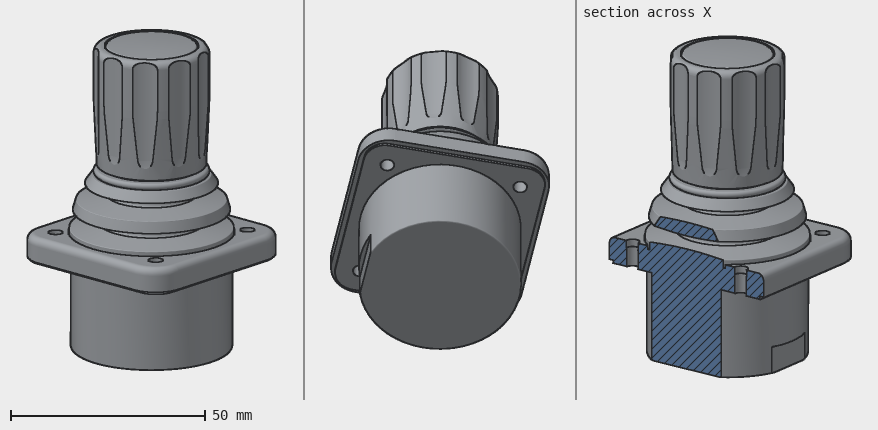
import cadquery as cq
import math

BODY_TOP = 23.9
LIP_TOP = 24.7
FLANGE_TOP = 31.1
NECK_BASE = 48.45
KNOB_BASE = 49.1
KNOB_RIM = 81.3
OVERALL_HEIGHT = 81.8

BODY_DIAMETER = 41.7
BODY_EDGE_FILLET = 0.4
FLAT_HEIGHT = 7.2
FLAT_OFFSET = 19.65

FLANGE_WIDTH = 50.0
FLANGE_CORNER = 8.0
FLANGE_TOP_FILLET = 2.0
LIP_WIDTH = 47.5
LIP_CORNER = 5.5
HOLE_PITCH = 34.95
HOLE_MOUTH_DIAMETER = 3.8
HOLE_MOUTH_DEPTH = 2.0
HOLE_DIAMETER = 3.5
RECESS_DIAMETER = 43.0
RECESS_DEPTH = 1.0

SKIRT_DIAMETER = 42.5
SKIRT_TOP = 32.25
LOWER_GROOVE_RADIUS = 13.1
LOWER_GROOVE_LEVEL = 34.45
UPPER_GROOVE_RADIUS = 11.05
UPPER_GROOVE_LEVEL = 42.0
GROOVE_HALF_HEIGHT = 1.0
GROOVE_BULGE = 0.4
LOWER_RIDGE_BOTTOM = (20.4, 36.8)
LOWER_RIDGE_TOP = (19.5, 39.85)
UPPER_RIDGE_BOTTOM = (17.35, 44.0)
UPPER_RIDGE_TOP = (15.5, 46.65)
RIDGE_FILLET = 0.25
COLLAR_RADIUS = 15.0
COLLAR_BULGE = 0.7
NECK_DIAMETER = 25.0

GRIP_RADIUS = 15.0
KNOB_BASE_RADIUS = 14.15
KNOB_BASE_FILLET = 0.4
KNOB_TOP_FILLET = 2.0
TAPER_START = 67.0
TAPER_BLEND = 1.1
DISC_DIAMETER = 23.7
DISC_EDGE_LEVEL = 81.35
DISC_EDGE_FILLET = 0.5
DISC_GROOVE_DIAMETER = 24.2
DISC_GROOVE_DEPTH = 0.5

FLUTE_COUNT = 10
FLUTE_RADIUS = 9.7
FLUTE_FLOOR_RADIUS = 14.1
FLUTE_BASE = 54.5


def cylinder(diameter, bottom, top):
    return cq.Workplane("XY").workplane(offset=bottom).circle(diameter / 2).extrude(top - bottom)


def rounded_square(width, corner, bottom, top):
    block = cq.Workplane("XY").workplane(offset=bottom).rect(width, width).extrude(top - bottom)
    return block.edges("|Z").fillet(corner)


def mounting_holes(diameter, bottom):
    """Four round cutters on a square pitch, running up through the flange top."""
    return (
        cq.Workplane("XY")
        .workplane(offset=bottom)
        .rect(HOLE_PITCH, HOLE_PITCH, forConstruction=True)
        .vertices()
        .circle(diameter / 2)
        .extrude(FLANGE_TOP - bottom)
    )


def make_body():
    """Cylinder with a rounded bottom edge and a short flat on the +Y side."""
    body = cylinder(BODY_DIAMETER, 0, BODY_TOP).faces("<Z").edges().fillet(BODY_EDGE_FILLET)
    flat = (
        cq.Workplane("XY")
        .center(0, FLAT_OFFSET + BODY_DIAMETER / 2)
        .rect(BODY_DIAMETER, BODY_DIAMETER)
        .extrude(FLAT_HEIGHT)
    )
    return body.cut(flat)


def make_flange():
    """Rounded square plate with a lip below, four stepped holes and a recess around the boot."""
    plate = rounded_square(FLANGE_WIDTH, FLANGE_CORNER, LIP_TOP, FLANGE_TOP)
    plate = plate.faces(">Z").edges().fillet(FLANGE_TOP_FILLET)
    plate = plate.cut(cylinder(RECESS_DIAMETER, FLANGE_TOP - RECESS_DEPTH, FLANGE_TOP))
    lip = rounded_square(LIP_WIDTH, LIP_CORNER, BODY_TOP, LIP_TOP)
    flange = plate.union(lip)
    flange = flange.cut(mounting_holes(HOLE_DIAMETER, BODY_TOP))
    return flange.cut(mounting_holes(HOLE_MOUTH_DIAMETER, FLANGE_TOP - HOLE_MOUTH_DEPTH))


def add_round_groove(outline, radius, level):
    """Run the outline up to a groove and around its concave bottom."""
    mouth = radius + GROOVE_BULGE
    return outline.lineTo(mouth, level - GROOVE_HALF_HEIGHT).threePointArc(
        (radius, level), (mouth, level + GROOVE_HALF_HEIGHT)
    )


def make_boot():
    """Revolved bellows with a rounded collar and the neck that carries the knob."""
    skirt_radius = SKIRT_DIAMETER / 2
    neck_radius = NECK_DIAMETER / 2
    collar_base = UPPER_RIDGE_TOP[1]
    collar_inset = COLLAR_RADIUS - COLLAR_BULGE

    outline = cq.Workplane("XZ").moveTo(0, LIP_TOP)
    outline = outline.lineTo(skirt_radius, LIP_TOP).lineTo(skirt_radius, SKIRT_TOP)
    outline = add_round_groove(outline, LOWER_GROOVE_RADIUS, LOWER_GROOVE_LEVEL)
    outline = outline.lineTo(*LOWER_RIDGE_BOTTOM).lineTo(*LOWER_RIDGE_TOP)
    outline = add_round_groove(outline, UPPER_GROOVE_RADIUS, UPPER_GROOVE_LEVEL)
    outline = outline.lineTo(*UPPER_RIDGE_BOTTOM).lineTo(*UPPER_RIDGE_TOP)
    outline = outline.lineTo(collar_inset, collar_base).threePointArc(
        (COLLAR_RADIUS, (collar_base + NECK_BASE) / 2),
        (collar_inset, NECK_BASE),
    )
    outline = outline.lineTo(neck_radius, NECK_BASE).lineTo(neck_radius, KNOB_BASE).lineTo(0, KNOB_BASE)
    boot = outline.close().revolve(360, (0, 0, 0), (0, 1, 0))
    ridge_edges = boot.edges("%CIRCLE").filter(lambda edge: edge.radius() > COLLAR_RADIUS)
    return ridge_edges.fillet(RIDGE_FILLET)


def make_flute():
    """Cutter for one flute on the -Y side: an upright cylinder with a ball at its lower end."""
    distance = FLUTE_FLOOR_RADIUS + FLUTE_RADIUS
    shaft = cylinder(2 * FLUTE_RADIUS, FLUTE_BASE, OVERALL_HEIGHT)
    ball = cq.Workplane("XY").sphere(FLUTE_RADIUS).translate((0, 0, FLUTE_BASE))
    return shaft.union(ball).translate((0, -distance, 0))


def make_disc(base):
    """Disc whose top is a shallow dome with a rounded rim."""
    dome_height = OVERALL_HEIGHT - DISC_EDGE_LEVEL
    dome_radius = ((DISC_DIAMETER / 2) ** 2 + dome_height**2) / (2 * dome_height)
    ball = cq.Workplane("XY").sphere(dome_radius).rotate((0, 0, 0), (1, 0, 0), 90)
    ball = ball.translate((0, 0, OVERALL_HEIGHT - dome_radius))
    disc = cylinder(DISC_DIAMETER, base, OVERALL_HEIGHT).intersect(ball)
    return disc.faces(">Z").edges().fillet(DISC_EDGE_FILLET)


def make_knob():
    """Tapered and fluted knob with a slightly domed disc set in its top."""
    taper_slope = (GRIP_RADIUS - KNOB_BASE_RADIUS) / (TAPER_START - KNOB_BASE)
    blend_bottom = TAPER_START - TAPER_BLEND
    knob = (
        cq.Workplane("XZ")
        .moveTo(0, KNOB_BASE)
        .lineTo(KNOB_BASE_RADIUS, KNOB_BASE)
        .lineTo(GRIP_RADIUS - taper_slope * TAPER_BLEND, blend_bottom)
        .tangentArcPoint((GRIP_RADIUS, TAPER_START + TAPER_BLEND), relative=False)
        .lineTo(GRIP_RADIUS, KNOB_RIM)
        .lineTo(0, KNOB_RIM)
        .close()
        .revolve(360, (0, 0, 0), (0, 1, 0))
    )
    knob = knob.faces(">Z").edges().fillet(KNOB_TOP_FILLET)
    knob = knob.faces("<Z").edges().fillet(KNOB_BASE_FILLET)

    flute = make_flute()
    for index in range(FLUTE_COUNT):
        knob = knob.cut(flute.rotate((0, 0, 0), (0, 0, 1), index * 360 / FLUTE_COUNT))

    groove_floor = KNOB_RIM - DISC_GROOVE_DEPTH
    knob = knob.cut(cylinder(DISC_GROOVE_DIAMETER, groove_floor, OVERALL_HEIGHT))
    return knob.union(make_disc(groove_floor))


result = make_body().union(make_flange()).union(make_boot()).union(make_knob())